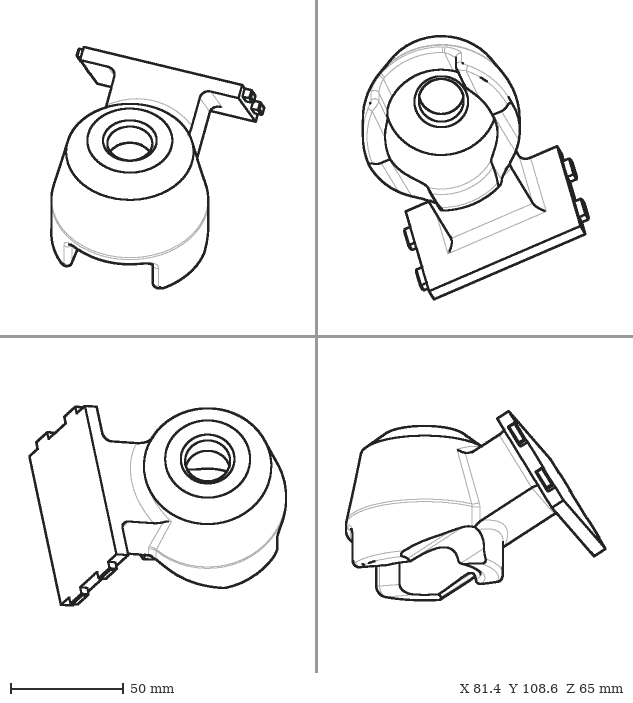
import cadquery as cq
import math

OVERALL_LENGTH = 108.6

BODY_RADIUS = 35.0
SHOULDER_RADIUS = 28.4
TOP_RADIUS = 18.9
BODY_HEIGHT = 65.0
SHOULDER_HEIGHT = 57.4
SKIRT_HEIGHT = 25.1
SKIRT_BLEND = 6.0
BORE_DIAMETER = 20.0
BORE_CHAMFER = 2.0
CAVITY_DIAMETER = 50
CAVITY_DEPTH = 50

NOTCH_WIDTH = 37.8
NOTCH_HEIGHT = 20.0
NOTCH_RADIUS = 4.0
NOTCH_BACK = 5.4
TONGUE_WIDTH = 30.6
SIDE_CURVE_RADIUS = 10.0
SIDE_FLAT_END = 29.3
TONGUE_SWEEP = 60
ROOF_SWEEP = 50
SIDE_OPENING_BACK = 48.9
SKIRT_EDGE_FILLET = 2.0

TILT = 30
ARM_WIDTH = 40.0
ARM_THICKNESS = 30.0
ARM_ROOT = 27.2
PLATE_WIDTH = 74.0
PLATE_LENGTH = 50.4
PLATE_THICKNESS = 6.2
ARM_FILLET = 4.0
PLATE_OVERHANG = PLATE_LENGTH - ARM_THICKNESS
PLATE_REACH = OVERALL_LENGTH - BODY_RADIUS
PLATE_FACE = (
    PLATE_REACH - PLATE_OVERHANG * math.sin(math.radians(TILT))
) / math.cos(math.radians(TILT))

PEG_LENGTH = 10.0
PEG_THICKNESS = 3.8
PEG_REACH = 3.7
PEG_PITCH = 25.4
PEG_CHAMFER = 0.5


SLACK = 0.1


def tilted(shape):
    return shape.rotate((0, 0, 0), (1, 0, 0), TILT)


def block(x_size, y_range, z_range, x_middle=0):
    y_size = y_range[1] - y_range[0]
    z_size = z_range[1] - z_range[0]
    corner = (x_middle - x_size / 2, y_range[0], z_range[0])
    return cq.Workplane("XY").box(x_size, y_size, z_size, centered=False).translate(corner)


def edges_within(low, high):
    return cq.selectors.BoxSelector(low, high, boundingbox=True)


def arc_point(center, radius, degrees):
    angle = math.radians(degrees)
    return (center[0] + radius * math.cos(angle), center[1] + radius * math.sin(angle))


def bell():
    outline = (
        cq.Workplane("XZ")
        .lineTo(BODY_RADIUS, 0)
        .lineTo(BODY_RADIUS, SKIRT_HEIGHT)
        .lineTo(SHOULDER_RADIUS, SHOULDER_HEIGHT)
        .lineTo(TOP_RADIUS, BODY_HEIGHT)
        .lineTo(0, BODY_HEIGHT)
        .close()
    )
    solid = outline.revolve(360, (0, 0, 0), (0, 1, 0))
    skirt_top = edges_within(
        (-BODY_RADIUS - SLACK, -BODY_RADIUS - SLACK, SKIRT_HEIGHT - SLACK),
        (BODY_RADIUS + SLACK, BODY_RADIUS + SLACK, SKIRT_HEIGHT + SLACK),
    )
    return solid.edges(skirt_top).fillet(SKIRT_BLEND)


def arm_and_plate():
    plate_back = PLATE_FACE - PLATE_THICKNESS
    plate_bottom = -PLATE_OVERHANG
    arm = block(ARM_WIDTH, (ARM_ROOT, PLATE_FACE), (0, ARM_THICKNESS))
    plate = block(PLATE_WIDTH, (plate_back, PLATE_FACE), (plate_bottom, ARM_THICKNESS))
    plate_joint = edges_within(
        (-ARM_WIDTH / 2 - SLACK, plate_back - SLACK, -SLACK),
        (ARM_WIDTH / 2 + SLACK, plate_back + SLACK, ARM_THICKNESS + SLACK),
    )
    level = arm.union(plate).edges(plate_joint).fillet(ARM_FILLET)
    plate_middle = plate_bottom + PLATE_LENGTH / 2
    for side, end in ((-1, "<X"), (1, ">X")):
        for step in (-1, 1):
            middle = plate_middle + step * PEG_PITCH / 2
            peg = block(
                PEG_REACH,
                (PLATE_FACE - PEG_THICKNESS, PLATE_FACE),
                (middle - PEG_LENGTH / 2, middle + PEG_LENGTH / 2),
                side * (PLATE_WIDTH + PEG_REACH) / 2,
            )
            level = level.union(peg.faces(end).edges().chamfer(PEG_CHAMFER))
    return tilted(level)


def side_opening():
    """Space beside the tongue at +X, under a sloping roof in line with the arm's underside."""
    r = SIDE_CURVE_RADIUS
    tongue_side = TONGUE_WIDTH / 2
    far = 2 * BODY_RADIUS
    tongue_end = (tongue_side - r, -r)
    inner_corner = (tongue_side + r, -r)
    roof_end = (SIDE_FLAT_END, r)
    tongue_tip = arc_point(tongue_end, r, -TONGUE_SWEEP)
    roof_tip = arc_point(roof_end, r, -90 + ROOF_SWEEP)
    opening = (
        cq.Workplane("XZ", origin=(0, SIDE_OPENING_BACK, 0))
        .moveTo(tongue_tip[0], -far)
        .lineTo(*tongue_tip)
        .threePointArc(arc_point(tongue_end, r, -TONGUE_SWEEP / 2), (tongue_side, -r))
        .threePointArc(arc_point(inner_corner, r, 135), (tongue_side + r, 0))
        .lineTo(SIDE_FLAT_END, 0)
        .threePointArc(arc_point(roof_end, r, -90 + ROOF_SWEEP / 2), roof_tip)
        .lineTo(far, r)
        .lineTo(far, -far)
        .close()
        .extrude(SIDE_OPENING_BACK + far)
    )
    return tilted(opening)


def front_notch():
    """Opening in the front wall, with rounded top corners and flared lower corners."""
    r = NOTCH_RADIUS
    half = NOTCH_WIDTH / 2
    knee = NOTCH_HEIGHT - r
    return (
        cq.Workplane("XZ", origin=(0, NOTCH_BACK, 0))
        .moveTo(-half - r, 0)
        .threePointArc(arc_point((-half - r, r), r, -45), (-half, r))
        .lineTo(-half, knee)
        .threePointArc(arc_point((-half + r, knee), r, 135), (-half + r, NOTCH_HEIGHT))
        .lineTo(half - r, NOTCH_HEIGHT)
        .threePointArc(arc_point((half - r, knee), r, 45), (half, knee))
        .lineTo(half, r)
        .threePointArc(arc_point((half + r, r), r, -135), (half + r, 0))
        .close()
        .extrude(NOTCH_BACK + 2 * BODY_RADIUS)
    )


def hollow():
    """Cavity from below and a through bore chamfered at both ends."""
    cavity_radius = CAVITY_DIAMETER / 2
    bore_radius = BORE_DIAMETER / 2
    return (
        cq.Workplane("XZ")
        .lineTo(cavity_radius, 0)
        .lineTo(cavity_radius, CAVITY_DEPTH)
        .lineTo(bore_radius + BORE_CHAMFER, CAVITY_DEPTH)
        .lineTo(bore_radius, CAVITY_DEPTH + BORE_CHAMFER)
        .lineTo(bore_radius, BODY_HEIGHT - BORE_CHAMFER)
        .lineTo(bore_radius + BORE_CHAMFER, BODY_HEIGHT)
        .lineTo(0, BODY_HEIGHT)
        .close()
        .revolve(360, (0, 0, 0), (0, 1, 0))
    )


def on_front_rim(edge):
    """True for the edges of the notch and of the skirt's foot on the outside of the front half."""
    middle = edge.positionAt(0.5)
    on_outside = abs(math.hypot(middle.x, middle.y) - BODY_RADIUS) < SLACK
    return on_outside and middle.y < -SLACK and middle.z < NOTCH_HEIGHT + SLACK


arm_root = edges_within(
    (-ARM_WIDTH / 2 - SLACK, 0, 0),
    (ARM_WIDTH / 2 + SLACK, BODY_RADIUS + SLACK, BODY_HEIGHT),
)
part = bell().union(arm_and_plate()).edges(arm_root).fillet(ARM_FILLET)

part = part.cut(side_opening()).cut(side_opening().mirror("YZ")).cut(front_notch())
part = part.edges().filter(on_front_rim).fillet(SKIRT_EDGE_FILLET)

part = part.cut(hollow())
tongue_foot = edges_within(
    (-TONGUE_WIDTH / 2 - SLACK, 0, -SLACK),
    (TONGUE_WIDTH / 2 + SLACK, BODY_RADIUS + SLACK, SLACK),
)
result = part.edges(tongue_foot).edges("%CIRCLE").fillet(SKIRT_EDGE_FILLET)